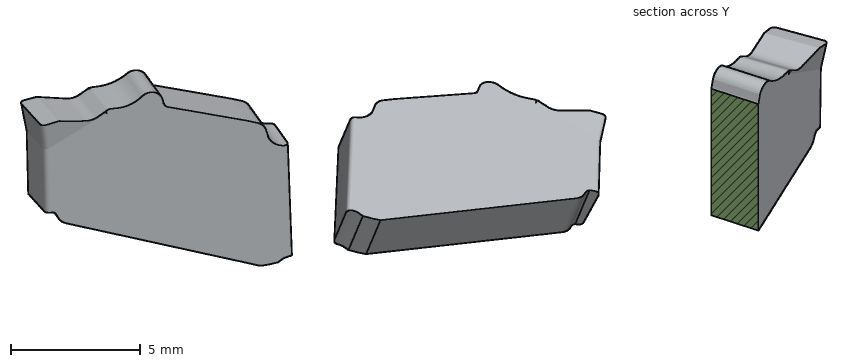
import cadquery as cq
import math

length = 10.33
body_width = 2.1
half_width = body_width / 2
corner_radius = 0.21
skew = math.tan(math.radians(4.3))
breaker_skew = math.tan(math.radians(2.9))

crest_end = (4.27, 7.88)

crest_z = 7.99
nose_foot_z = 3.41
heel_foot_z = 0.25
heel_top_z = 4.99
tip_z = 7.21
land_slope = 0.16

nose_foot = (0.23, nose_foot_z)
front_break = (0.17, 6.08)
heel_y = 10.16

flare_start = (2.82, 7.33)
flare_angle = 26.8
flare_rate = 0.14

margin = 0.62
stock_half_width = half_width + margin
stock_top_z = crest_z + margin
stock_front_y = -margin
stock_back_y = length + margin


def straight_body():
    """Heel, back, crest and underside, extruded square to the side faces."""
    return (
        cq.Workplane("YZ", origin=(-stock_half_width, 0, 0))
        .moveTo(stock_front_y, nose_foot_z)
        .lineTo(0.66, nose_foot_z)
        .threePointArc((0.75, 3.35), (0.84, 3.22))
        .threePointArc((0.98, 3.01), (1.23, 2.86))
        .lineTo(9.01, 0)
        .lineTo(9.36, 0.01)
        .lineTo(9.71, 0.05)
        .lineTo(9.94, 0.2)
        .lineTo(10.13, heel_foot_z)
        .lineTo(length, heel_foot_z)
        .lineTo(heel_y, heel_top_z)
        .lineTo(9.96, heel_top_z)
        .threePointArc((9.57, 5.13), (9.34, 5.4))
        .lineTo(9.21, 5.81)
        .threePointArc((9.07, 5.99), (8.89, 6.09))
        .lineTo(8.47, 6.25)
        .lineTo(5.3, 7.26)
        .threePointArc((5.2, 7.31), (5.13, 7.41))
        .lineTo(5.04, 7.71)
        .threePointArc((4.62, crest_z), crest_end)
        .lineTo(crest_end[0], stock_top_z)
        .lineTo(stock_front_y, stock_top_z)
        .close()
        .extrude(2 * stock_half_width)
    )


def skewed_prism(outline):
    """Extrude a side outline obliquely along the skewed cutting edge."""
    span = 2 * stock_half_width
    prism = cq.Solid.extrudeLinear(outline.wire().val(), [], cq.Vector(span, span * skew, 0))
    return cq.Workplane(prism.translate(cq.Vector(-margin, -margin * skew, 0)))


def side_sketch():
    """Outline plane on the -X side face."""
    return cq.Workplane("YZ", origin=(-half_width, 0, 0))


def chip_breaker_outline(x):
    """Closed outline at one X; the crest end stays put while the rest is skewed."""
    from_left_face = x + half_width

    def breaker(y, z):
        return (y + breaker_skew * from_left_face, z)

    def tip(y, z):
        return (y + skew * from_left_face, z)

    return (
        cq.Workplane("YZ", origin=(x, 0, 0))
        .moveTo(stock_back_y, -margin)
        .lineTo(stock_back_y, stock_top_z)
        .lineTo(crest_end[0] + margin, stock_top_z)
        .lineTo(*crest_end)
        .threePointArc(breaker(3.7, 7.59), breaker(3.06, 7.5))
        .lineTo(*breaker(2.88, 7.5))
        .threePointArc(breaker(2.78, 7.48), breaker(2.69, 7.43))
        .lineTo(*breaker(2.29, 7.2))
        .threePointArc(breaker(2.08, 7.14), breaker(1.85, 7.14))
        .lineTo(*breaker(1.73, 7.16))
        .lineTo(*tip(0.76, 7.31))
        .threePointArc(tip(0.72, 7.32), tip(0.68, 7.32))
        .lineTo(*tip(0, tip_z))
        .lineTo(*tip(stock_front_y, tip_z + stock_front_y * land_slope))
        .lineTo(*tip(stock_front_y, -margin))
        .close()
        .wire()
        .val()
    )


def chip_breaker():
    """Everything below the valley, step and rake face."""
    left = chip_breaker_outline(-stock_half_width)
    right = chip_breaker_outline(stock_half_width)
    return cq.Workplane(cq.Solid.makeLoft([left, right], True))


def behind_front_face(foot, head):
    """Stock behind the skewed plane through two (Y, Z) points, over the full height."""
    lean = (head[0] - foot[0]) / (head[1] - foot[1])
    return skewed_prism(
        side_sketch()
        .moveTo(stock_back_y, -margin)
        .lineTo(stock_back_y, stock_top_z)
        .lineTo(foot[0] + lean * (stock_top_z - foot[1]), stock_top_z)
        .lineTo(foot[0] + lean * (-margin - foot[1]), -margin)
        .close()
    )


def body_sides():
    """Flat-sided block with rounded front corners and rounded heel corners."""
    slab = cq.Workplane().box(body_width, 2 * stock_back_y, 2 * stock_back_y)
    heel_lean = (length - heel_y) / (heel_top_z - heel_foot_z)
    heel_face = (
        cq.Workplane("YZ", origin=(-stock_half_width, 0, 0))
        .moveTo(stock_front_y * 2, -margin)
        .lineTo(length + heel_lean * (heel_foot_z + margin), -margin)
        .lineTo(heel_y - heel_lean * (stock_top_z - heel_top_z), stock_top_z)
        .lineTo(stock_front_y * 2, stock_top_z)
        .close()
        .extrude(2 * stock_half_width)
    )
    block = slab.intersect(behind_front_face(nose_foot, front_break)).intersect(heel_face)
    return block.faces("<Y or >Y").edges("not |X").edges("not #Z").fillet(corner_radius)


def flared_sides():
    """Block above the flare lines, widening toward the tip, with rounded front corners."""
    angle = math.radians(flare_angle)
    plane = cq.Plane(
        origin=(0, flare_start[0], flare_start[1]),
        xDir=(1, 0, 0),
        normal=(0, -math.cos(angle), -math.sin(angle)),
    )
    depth = 1.45
    rise = 3.1
    wedge = (
        cq.Workplane(plane)
        .polyline([
            (-half_width + flare_rate * depth, -depth),
            (half_width - flare_rate * depth, -depth),
            (half_width + flare_rate * rise, rise),
            (-half_width - flare_rate * rise, rise),
        ])
        .close()
        .extrude(length)
    )
    block = wedge.intersect(behind_front_face(front_break, (0, tip_z)))
    return block.faces("<Y").edges("not #Z").fillet(corner_radius)


sides = body_sides().union(flared_sides())
result = straight_body().intersect(chip_breaker()).intersect(sides)